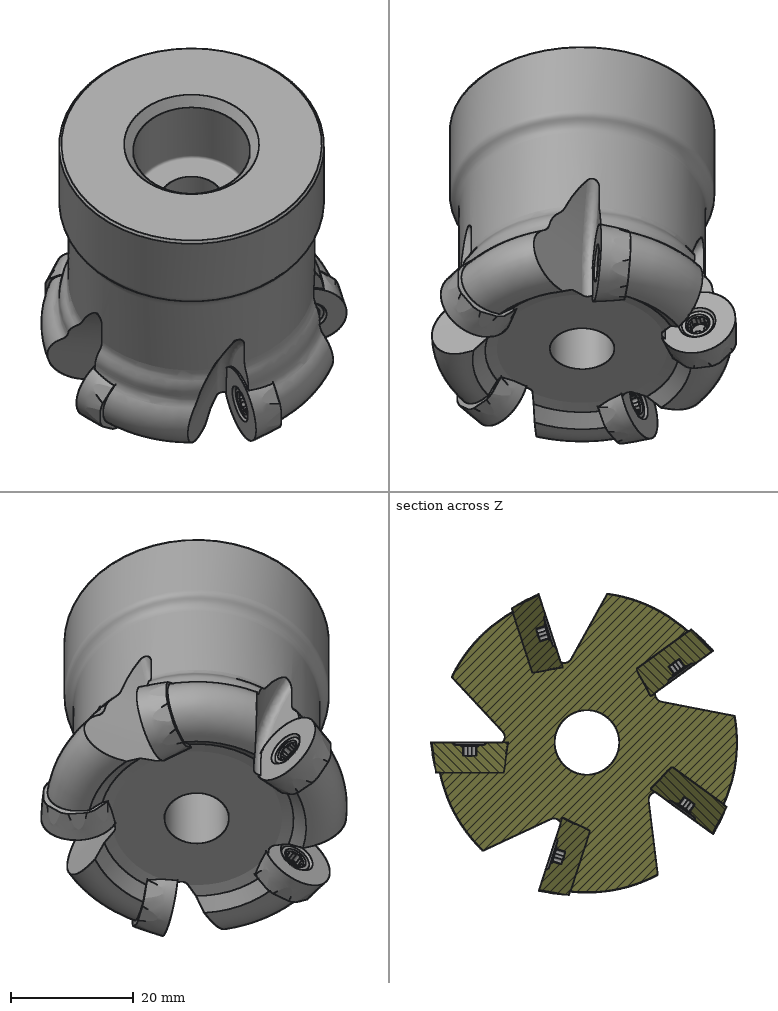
import cadquery as cq
import math

TOP_Z = 50.0
FLANGE_RADIUS = 43.2 / 2
NECK_RADIUS = 40.2 / 2
RIM_CHAMFER = 0.4
FLANGE_BOTTOM_Z = 36.4
FLANGE_TURN_Z = 35.05
NECK_TOP_Z = 32.95
NECK_BOTTOM_Z = 17.4
SHOULDER_TURN_Z = 15.65
SHOULDER_BOTTOM_Z = 12.95

RING_OUTER_RADIUS = 24.5
RING_SECTION_RADIUS = 5.4
BODY_BOTTOM_Z = 1.45
RING_CENTER_RADIUS = RING_OUTER_RADIUS - RING_SECTION_RADIUS
RING_CENTER_Z = BODY_BOTTOM_Z + RING_SECTION_RADIUS

BORE_RADIUS = 19.05 / 2
BORE_MOUTH_RADIUS = 11.0
BORE_FLOOR_Z = 36.5
BORE_FILLET = 0.45
THROUGH_RADIUS = 10.5 / 2
RECESS_MOUTH_RADIUS = 17.85
RECESS_BEND = (15.8, 3.35)
RECESS_FLOOR_RADIUS = 13.9
RECESS_FLOOR_Z = 3.8

INSERT_COUNT = 5
FIRST_INSERT_ANGLE = 36.0
INSERT_RADIUS = 6.35
INSERT_THICKNESS = 4.9
INSERT_RELIEF_ANGLE = 7.5
INSERT_CENTER = (RING_CENTER_RADIUS, 0, INSERT_RADIUS)
FLAT_COUNT = 8
FLAT_ANGLE = 11.5
FLAT_BASE_DISTANCE = 5.5

SCREW_MOUTH_RADIUS = 3.05
SCREW_HEAD_RADIUS = 5.25 / 2
SCREW_HEAD_DEPTH = 0.4
SOCKET_MOUTH_RADIUS = 4.0 / 2
SOCKET_RADIUS = 3.5 / 2
SOCKET_LEAD_IN = 0.25
SOCKET_DEPTH = 1.75
SOCKET_POINT_DEPTH = 0.7
LOBE_COUNT = 6
LOBE_RADIUS = 0.4

GULLET_ANGLE = 47.0
GULLET_REAR_DISTANCE = 8.85
GULLET_STRAIGHT_Z = 7.4
GULLET_CURVE_RADIUS = 27.7
GULLET_TOP_Z = 31.0
GULLET_RAKE_OFFSET = 0.35
GULLET_FILLET = 1.25
OUTSIDE = 40.0


def s_curve(profile, start, end, turn_z):
    """Join two vertical lines with two arcs that are tangent to them and to each other."""
    start_r, start_z = start
    end_r, end_z = end
    share = (turn_z - start_z) / (end_z - start_z)
    turn_point = (start_r + share * (end_r - start_r), turn_z)
    return profile.tangentArcPoint(turn_point, relative=False).tangentArcPoint(end, relative=False)


def make_turned_blank():
    """Solid of revolution with flange, neck, shoulder and insert ring."""
    ring_rise = SHOULDER_BOTTOM_Z - RING_CENTER_Z
    shoulder_offset = FLANGE_RADIUS - RING_CENTER_RADIUS
    cove_radius = (ring_rise**2 + shoulder_offset**2 - RING_SECTION_RADIUS**2) / (
        2 * (RING_SECTION_RADIUS - shoulder_offset)
    )
    meet_angle = math.atan2(ring_rise, shoulder_offset + cove_radius)

    def on_ring(angle):
        return (
            RING_CENTER_RADIUS + RING_SECTION_RADIUS * math.cos(angle),
            RING_CENTER_Z + RING_SECTION_RADIUS * math.sin(angle),
        )

    profile = (
        cq.Workplane("XZ")
        .moveTo(0, TOP_Z)
        .lineTo(FLANGE_RADIUS - RIM_CHAMFER, TOP_Z)
        .lineTo(FLANGE_RADIUS, TOP_Z - RIM_CHAMFER)
        .lineTo(FLANGE_RADIUS, FLANGE_BOTTOM_Z)
    )
    profile = s_curve(
        profile, (FLANGE_RADIUS, FLANGE_BOTTOM_Z), (NECK_RADIUS, NECK_TOP_Z), FLANGE_TURN_Z
    )
    profile = profile.lineTo(NECK_RADIUS, NECK_BOTTOM_Z)
    profile = s_curve(
        profile, (NECK_RADIUS, NECK_BOTTOM_Z), (FLANGE_RADIUS, SHOULDER_BOTTOM_Z), SHOULDER_TURN_Z
    )
    profile = (
        profile.tangentArcPoint(on_ring(meet_angle), relative=False)
        .threePointArc(on_ring(0), on_ring(-math.pi / 2))
        .lineTo(0, BODY_BOTTOM_Z)
        .close()
    )
    return profile.revolve(360, (0, 0, 0), (0, 1, 0))


def make_bore():
    """Chamfered blind bore with a filleted floor and a smaller hole through the cutter."""
    chamfer = BORE_MOUTH_RADIUS - BORE_RADIUS
    bore = (
        cq.Workplane("XY", origin=(0, 0, BORE_FLOOR_Z))
        .circle(BORE_RADIUS)
        .extrude(TOP_Z - BORE_FLOOR_Z)
        .faces("<Z")
        .edges()
        .fillet(BORE_FILLET)
    )
    mouth = cq.Workplane(
        cq.Solid.makeCone(BORE_RADIUS, BORE_MOUTH_RADIUS, chamfer, cq.Vector(0, 0, TOP_Z - chamfer))
    )
    through_hole = cq.Workplane("XY").circle(THROUGH_RADIUS).extrude(TOP_Z)
    return bore.union(mouth).union(through_hole)


def make_bottom_recess():
    """Shallow dish with a steep outer cone, a flatter inner cone and a flat floor."""
    return (
        cq.Workplane("XZ")
        .moveTo(0, BODY_BOTTOM_Z)
        .lineTo(RECESS_MOUTH_RADIUS, BODY_BOTTOM_Z)
        .lineTo(*RECESS_BEND)
        .lineTo(RECESS_FLOOR_RADIUS, RECESS_FLOOR_Z)
        .lineTo(0, RECESS_FLOOR_Z)
        .close()
        .revolve(360, (0, 0, 0), (0, 1, 0))
    )


def rear_wall_point(z):
    """Distance from the cutter axis and height of a point on the gullet's rear wall."""
    rise = z - GULLET_STRAIGHT_Z
    run = GULLET_CURVE_RADIUS - math.sqrt(GULLET_CURVE_RADIUS**2 - rise**2)
    return (GULLET_REAR_DISTANCE + run, z)


def make_gullet():
    """Vee notch with a rounded root; its rear wall rises straight and then curves outward."""
    gullet_angle = math.radians(GULLET_ANGLE)
    across_wall = cq.Vector(math.sin(gullet_angle), math.cos(gullet_angle), 0)
    along_wall = cq.Vector(math.cos(gullet_angle), -math.sin(gullet_angle), 0)
    wall_plane = cq.Plane(origin=along_wall * -OUTSIDE, xDir=across_wall, normal=along_wall)
    beyond_rear_wall = (
        cq.Workplane(wall_plane)
        .moveTo(OUTSIDE, 0)
        .lineTo(GULLET_REAR_DISTANCE, 0)
        .lineTo(*rear_wall_point(GULLET_STRAIGHT_Z))
        .threePointArc(
            rear_wall_point((GULLET_STRAIGHT_Z + GULLET_TOP_Z) / 2), rear_wall_point(GULLET_TOP_Z)
        )
        .lineTo(OUTSIDE, GULLET_TOP_Z)
        .close()
        .extrude(2 * OUTSIDE)
    )
    in_front_of_rake_wall = (
        cq.Workplane("XY")
        .box(4 * OUTSIDE, 2 * OUTSIDE, 2 * OUTSIDE)
        .translate((0, GULLET_RAKE_OFFSET - OUTSIDE, 0))
    )
    notch = beyond_rear_wall.intersect(in_front_of_rake_wall)
    root_zone = cq.selectors.BoxSelector(
        (0, 0, 0), (RING_OUTER_RADIUS, 2 * GULLET_RAKE_OFFSET, GULLET_TOP_Z), boundingbox=False
    )
    return notch.faces(">Y").edges(root_zone).fillet(GULLET_FILLET)


def make_insert_blank():
    """Round insert with its face in the plane y = 0 and its back toward +Y."""
    relief = INSERT_THICKNESS * math.tan(math.radians(INSERT_RELIEF_ANGLE))
    cone = cq.Workplane(
        cq.Solid.makeCone(
            INSERT_RADIUS - relief,
            INSERT_RADIUS,
            INSERT_THICKNESS,
            cq.Vector(0, INSERT_THICKNESS, 0),
            cq.Vector(0, -1, 0),
        )
    )
    flat_spread = INSERT_THICKNESS * math.tan(math.radians(FLAT_ANGLE))
    octagon = (
        cq.Workplane("XZ")
        .polygon(FLAT_COUNT, 2 * (FLAT_BASE_DISTANCE + flat_spread), circumscribed=True)
        .workplane(offset=-INSERT_THICKNESS)
        .polygon(FLAT_COUNT, 2 * FLAT_BASE_DISTANCE, circumscribed=True)
        .loft(ruled=True)
    )
    return cone.intersect(octagon)


def make_screw_recess():
    """Countersunk screw seat, flat screw head and six-lobed socket with a pointed floor."""

    def cone(mouth_radius, floor_radius, depth, start):
        return cq.Workplane(
            cq.Solid.makeCone(
                mouth_radius, floor_radius, depth, cq.Vector(0, start, 0), cq.Vector(0, 1, 0)
            )
        )

    seat = cone(SCREW_MOUTH_RADIUS, SCREW_HEAD_RADIUS, SCREW_HEAD_DEPTH, 0)
    lead_in = cone(SOCKET_MOUTH_RADIUS, SOCKET_RADIUS, SOCKET_LEAD_IN, SCREW_HEAD_DEPTH)
    socket_plane = cq.Workplane("XZ", origin=(0, SCREW_HEAD_DEPTH, 0))
    core_radius = SOCKET_RADIUS - LOBE_RADIUS
    core = socket_plane.circle(core_radius).extrude(-SOCKET_DEPTH)
    lobes = (
        socket_plane.polarArray(core_radius, 0, 360, LOBE_COUNT)
        .circle(LOBE_RADIUS)
        .extrude(-SOCKET_DEPTH)
    )
    floor = cone(core_radius, 0, SOCKET_POINT_DEPTH, SCREW_HEAD_DEPTH + SOCKET_DEPTH)
    return seat.union(lead_in).union(core).union(lobes).union(floor)


def at_each_insert(shape):
    """Copies of a shape turned around the cutter axis, one for each insert."""
    return [
        shape.rotate((0, 0, 0), (0, 0, 1), FIRST_INSERT_ANGLE + i * 360 / INSERT_COUNT)
        for i in range(INSERT_COUNT)
    ]


insert_blank = make_insert_blank().translate(INSERT_CENTER)
insert = insert_blank.cut(make_screw_recess().translate(INSERT_CENTER))
inserts = at_each_insert(insert)

cutter_body = make_turned_blank().cut(make_bore()).cut(make_bottom_recess())
for gullet in at_each_insert(make_gullet()):
    cutter_body = cutter_body.cut(gullet)
for pocket in at_each_insert(insert_blank):
    cutter_body = cutter_body.cut(pocket)

result = cq.Compound.makeCompound(
    [cutter_body.solids().val(), *[copy.solids().val() for copy in inserts]]
)